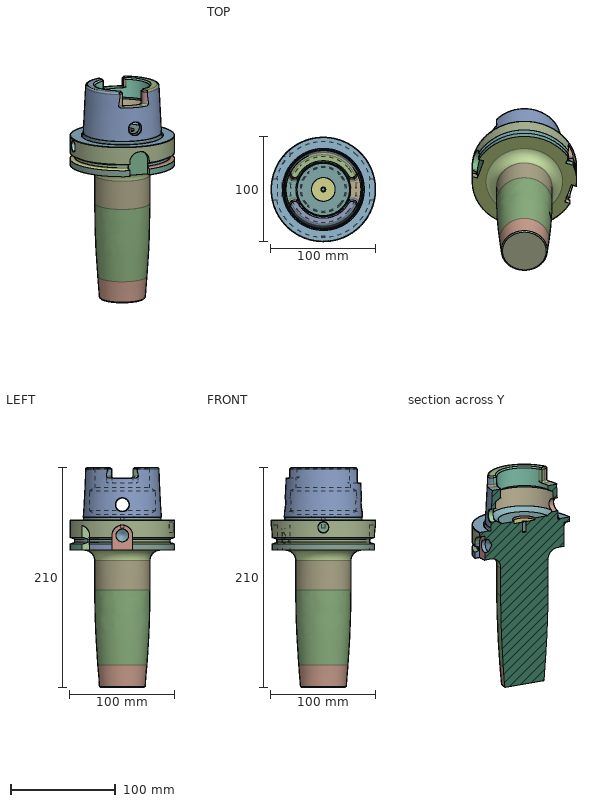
import cadquery as cq
import math


total_length = 210
flange_radius = 50.0
taper_length = 50.0
bottom_z = taper_length - total_length

taper_base_radius = 37.5
taper_slope = 1 / 20
taper_tip_radius = taper_base_radius - taper_slope * taper_length
rim_round = 1.9

relief_height = 2.7
relief_step = 0.31
relief_fillet = 1.0
relief_depth = 0.6
relief_radius = 38.2
relief_chamfer = 1.0

flange_thickness = 29.0
flange_chamfer = 0.5
groove_z = -20.0
groove_floor_radius = 45.8
groove_mouth_half = 3.1
groove_floor_half = 1.7
groove_floor_fillet = 0.6

neck_radius = 26.5
neck_fillet = 10.0
barrel_top_z = -66.7
cone_top_z = -138.5
nose_angle = math.radians(4.5)
nose_chamfer = 1.0

bore_radius = 26.0
bore_chamfer = 1.5
chamber_radius = 31.5
lip_z = 30.9
shoulder_angle = math.radians(30)
floor_z = 5.0
floor_radius = 25.0
floor_cone_height = 3.8
recess_radius = 11.3
recess_depth = 2
coolant_radius = 1.7
coolant_depth = 10.5
coolant_countersink = 0.6

driving_slots = [(-1, 10.0), (1, 15.0)]
driving_half_width = 10.0
driving_corner_round = 4.2
driving_floor_fillet = 1.9
driving_mouth_chamfer = 1.5
driving_bore_chamfer = 1.0

cross_hole_radius = 6.3
cross_hole_z = 14.5
cross_hole_chamfer = 0.5

keyway_half_width = 9.9
keyway_centre_z = -15.0
keyway_floor = 43.9
keyway_hole_radius = 6.0
keyway_hole_depth = 4.2
keyway_hole_point = math.radians(31)
notch_floor = 32.0
notch_centre_y = 41.1

rim_hole_radius = 5.0
rim_hole_z = -7.1
rim_hole_depth = 5.0
rim_hole_point = math.radians(5)
rim_hole_chamfer = 0.5


def turned_body():
    """Outside of the holder: taper, flange, neck and tapering nose."""
    arc_drop = (barrel_top_z - cone_top_z) * math.tan(nose_angle / 2)
    cone_top_radius = neck_radius - arc_drop
    nose_radius = cone_top_radius - (cone_top_z - bottom_z) * math.tan(nose_angle)
    relief_top_radius = taper_base_radius - taper_slope * relief_height
    relief_inner_radius = relief_top_radius - relief_step
    groove_mouth_top = groove_z + groove_mouth_half
    groove_mouth_bottom = groove_z - groove_mouth_half

    outline = (
        cq.Workplane("XZ")
        .moveTo(0, taper_length)
        .lineTo(taper_tip_radius - rim_round, taper_length)
        .radiusArc((taper_tip_radius + taper_slope * rim_round, taper_length - rim_round), rim_round)
        .lineTo(relief_top_radius, relief_height)
        .lineTo(relief_inner_radius, relief_height - relief_step)
        .lineTo(relief_inner_radius, relief_fillet - relief_depth)
        .radiusArc((relief_inner_radius + relief_fillet, -relief_depth), -relief_fillet)
        .lineTo(relief_radius, -relief_depth)
        .lineTo(relief_radius + relief_chamfer, 0)
        .lineTo(flange_radius - flange_chamfer, 0)
        .lineTo(flange_radius, -flange_chamfer)
        .lineTo(flange_radius, groove_mouth_top)
        .lineTo(groove_floor_radius, groove_z + groove_floor_half)
        .lineTo(groove_floor_radius, groove_z - groove_floor_half)
        .lineTo(flange_radius, groove_mouth_bottom)
        .lineTo(flange_radius, -flange_thickness)
        .lineTo(neck_radius + neck_fillet, -flange_thickness)
        .radiusArc((neck_radius, -flange_thickness - neck_fillet), -neck_fillet)
        .lineTo(neck_radius, barrel_top_z)
        .tangentArcPoint((cone_top_radius, cone_top_z), relative=False)
        .lineTo(nose_radius + nose_chamfer * math.tan(nose_angle), bottom_z + nose_chamfer)
        .lineTo(nose_radius - nose_chamfer, bottom_z)
        .lineTo(0, bottom_z)
        .close()
    )
    body = outline.revolve(360, (0, 0, 0), (0, 1, 0))
    reach = groove_floor_half + groove_floor_fillet
    groove_corners = cq.selectors.BoxSelector((-2, -2, groove_z - reach), (2, 2, groove_z + reach))
    return body.edges(groove_corners).fillet(groove_floor_fillet)


def shank_bore():
    """Space inside the shank: bore, clamping chamber, floor recess and coolant hole."""
    shoulder_height = (chamber_radius - bore_radius) * math.tan(shoulder_angle)
    recess_floor_z = floor_z - recess_depth
    outline = (
        cq.Workplane("XZ")
        .moveTo(0, taper_length)
        .lineTo(bore_radius + bore_chamfer, taper_length)
        .lineTo(bore_radius, taper_length - bore_chamfer)
        .lineTo(bore_radius, lip_z)
        .lineTo(chamber_radius, lip_z - shoulder_height)
        .lineTo(chamber_radius, floor_z + floor_cone_height)
        .lineTo(floor_radius, floor_z)
        .lineTo(recess_radius, floor_z)
        .lineTo(recess_radius, recess_floor_z)
        .lineTo(coolant_radius + coolant_countersink, recess_floor_z)
        .lineTo(coolant_radius, recess_floor_z - coolant_countersink)
        .lineTo(coolant_radius, recess_floor_z - coolant_depth)
        .lineTo(0, recess_floor_z - coolant_depth)
        .close()
    )
    return outline.revolve(360, (0, 0, 0), (0, 1, 0))


def driving_slot_outline(depth):
    """Plan of a slot on the +X side: walls bevelled at the bore and rounded onto the taper outside."""
    bore_corner_x = math.sqrt(bore_radius**2 - driving_half_width**2)
    bevel_x = bore_corner_x + driving_bore_chamfer
    inner_x = bore_corner_x - 2 * driving_bore_chamfer
    inner_y = driving_half_width + bevel_x - inner_x
    outer_x = 2 * taper_tip_radius
    round_y = driving_half_width + driving_corner_round
    taper_radius = taper_tip_radius + taper_slope * depth
    round_x = math.sqrt((taper_radius - driving_corner_round) ** 2 - round_y**2)
    bearing = math.atan2(round_y, round_x)
    end_x = round_x + driving_corner_round * math.cos(bearing)
    end_y = round_y + driving_corner_round * math.sin(bearing)
    middle = (bearing - math.pi / 2) / 2
    middle_x = round_x + driving_corner_round * math.cos(middle)
    middle_y = round_y + driving_corner_round * math.sin(middle)
    return (
        cq.Workplane("XY")
        .moveTo(inner_x, -inner_y)
        .lineTo(bevel_x, -driving_half_width)
        .lineTo(round_x, -driving_half_width)
        .threePointArc((middle_x, -middle_y), (end_x, -end_y))
        .lineTo(outer_x, -end_y)
        .lineTo(outer_x, end_y)
        .lineTo(end_x, end_y)
        .threePointArc((middle_x, middle_y), (round_x, driving_half_width))
        .lineTo(bevel_x, driving_half_width)
        .lineTo(inner_x, inner_y)
        .close()
    )


def driving_slot(side, depth):
    """Slot in the taper end with a filleted floor and a chamfered mouth."""
    slot = driving_slot_outline(depth).extrude(2 * depth).faces("<Z").edges().fillet(driving_floor_fillet)
    slot = slot.translate((0, 0, taper_length - depth))
    mouth = driving_slot_outline(depth).extrude(2 * driving_mouth_chamfer, taper=-45)
    mouth = mouth.translate((0, 0, taper_length - driving_mouth_chamfer))
    slot = slot.union(mouth)
    return slot if side > 0 else slot.rotate((0, 0, 0), (0, 0, 1), 180)


def arched_slot(side, floor, centre_y):
    """Slot cut from the side of the flange, open below and arched on top."""
    length = flange_radius
    workplane = cq.Workplane("YZ", origin=(side * floor, centre_y, keyway_centre_z))
    arch = workplane.circle(keyway_half_width).extrude(side * length)
    height = flange_thickness + keyway_centre_z
    below = workplane.center(0, -height / 2).rect(2 * keyway_half_width, height).extrude(side * length)
    return arch.union(below)


def drilled_hole(radius, depth, point_angle):
    """Hole along +Z from Z = 0 whose conical end slopes by point_angle from flat."""
    outline = (
        cq.Workplane("XZ")
        .moveTo(0, -radius)
        .lineTo(radius, -radius)
        .lineTo(radius, depth)
        .lineTo(0, depth + radius * math.tan(point_angle))
        .close()
    )
    return outline.revolve(360, (0, 0, 0), (0, 1, 0))


result = turned_body().cut(shank_bore())

for side, depth in driving_slots:
    result = result.cut(driving_slot(side, depth))

cross_hole = cq.Workplane("YZ").center(0, cross_hole_z).circle(cross_hole_radius)
result = result.cut(cross_hole.extrude(taper_base_radius, both=True))
wall_middle = (chamber_radius + taper_base_radius) / 2
for side in (-1, 1):
    mouth = cq.selectors.BoxSelector(
        (side * wall_middle, -cross_hole_radius, cross_hole_z - cross_hole_radius),
        (side * taper_base_radius, cross_hole_radius, cross_hole_z + cross_hole_radius),
    )
    result = result.edges(mouth).chamfer(cross_hole_chamfer)

for side in (-1, 1):
    result = result.cut(arched_slot(side, keyway_floor, 0))
result = result.cut(arched_slot(-1, notch_floor, notch_centre_y))

keyway_hole = drilled_hole(keyway_hole_radius, keyway_hole_depth, keyway_hole_point)
keyway_hole = keyway_hole.rotate((0, 0, 0), (0, 1, 0), 90)
result = result.cut(keyway_hole.translate((-keyway_floor, 0, keyway_centre_z)))

rim_countersink = cq.Solid.makeCone(rim_hole_radius + rim_hole_chamfer, rim_hole_radius, rim_hole_chamfer)
rim_hole = drilled_hole(rim_hole_radius, rim_hole_depth, rim_hole_point)
rim_hole = rim_hole.union(cq.Workplane(rim_countersink))
rim_hole = rim_hole.rotate((0, 0, 0), (1, 0, 0), -90)
result = result.cut(rim_hole.translate((0, -flange_radius, rim_hole_z)))